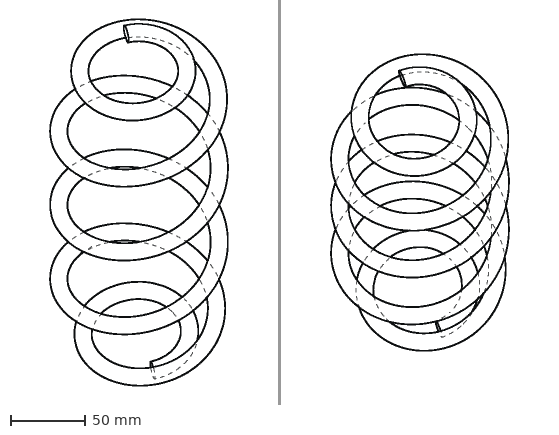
import cadquery as cq
import math

height = 304.7
wire_diameter = 12.0
outer_diameter = 120.0
total_turns = 5.5
points_per_turn = 16

body_radius = (outer_diameter - wire_diameter) / 2
bottom_coil_radius = 34.0
top_coil_radius = 32.3

bottom_radius_blend = (0.45, 1.4)
top_radius_blend = (0.4, 1.4)
bottom_pitch_blend = (0.5, 1.5)
top_pitch_blend = (0.36, 1.6)

turns_of_full_pitch = total_turns - (sum(bottom_pitch_blend) + sum(top_pitch_blend)) / 2
pitch = (height - wire_diameter) / turns_of_full_pitch


def blend_fraction(turns, blend):
    """Position inside a blend, from 0 before it to 1 after it."""
    first, last = blend
    return min(max((turns - first) / (last - first), 0.0), 1.0)


def narrowing(turns, blend, end_radius):
    """How much smaller than the body the coil is near one end of the wire."""
    fraction = blend_fraction(turns, blend)
    return (body_radius - end_radius) * (1 + math.cos(math.pi * fraction)) / 2


def climb(turns, blend):
    """Height gained from a flat end coil as the pitch ramps up linearly."""
    first, last = blend
    fraction = blend_fraction(turns, blend)
    ramp_turns = (last - first) * fraction**2 / 2
    return pitch * (ramp_turns + max(turns - last, 0.0))


def wire_point(turns):
    """Centre of the wire after a number of turns from the bottom end."""
    turns_left = total_turns - turns
    radius = (
        body_radius
        - narrowing(turns, bottom_radius_blend, bottom_coil_radius)
        - narrowing(turns_left, top_radius_blend, top_coil_radius)
    )
    if turns < total_turns / 2:
        z = wire_diameter / 2 + climb(turns, bottom_pitch_blend)
    else:
        z = height - wire_diameter / 2 - climb(turns_left, top_pitch_blend)
    angle = 2 * math.pi * turns
    return cq.Vector(radius * math.cos(angle), radius * math.sin(angle), z)


point_count = round(total_turns * points_per_turn) + 1
points = [wire_point(i / points_per_turn) for i in range(point_count)]
centre_line = cq.Workplane("XY").spline(points)

wire_section = cq.Workplane("XZ", origin=points[0].toTuple()).circle(wire_diameter / 2)
result = wire_section.sweep(centre_line)